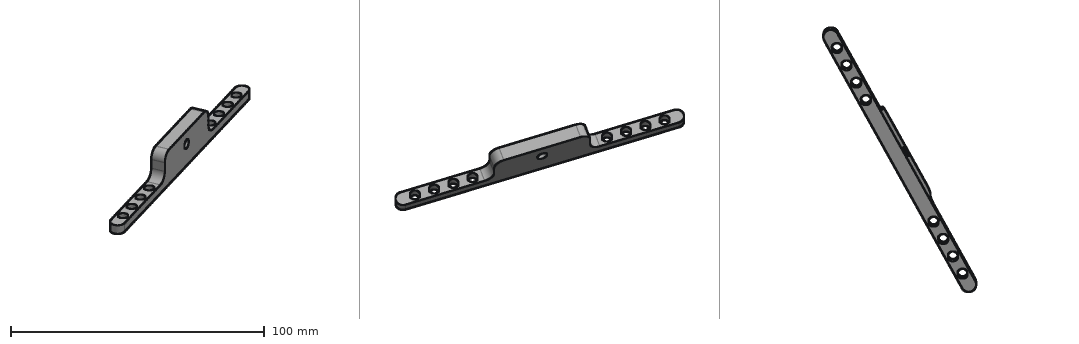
import cadquery as cq

length = 120.0
width = 6.0
bar_height = length / 30
height = 4 * bar_height
tab_length = length / 3
corner_radius = bar_height
hole_diameter = bar_height
hole_pitch = length / 15
holes_per_arm = 4
first_hole_y = 3.5 * hole_pitch
tab_hole_z = 2.5 * bar_height


def make_bar():
    """Flat bar with fully rounded ends, resting on Z = 0."""
    return cq.Workplane("XY").slot2D(length, width, 90).extrude(bar_height)


def make_tab():
    """Upright tab with rounded top corners and concave blends at its foot."""
    half = tab_length / 2
    r = corner_radius
    foot = half + r
    return (
        cq.Workplane("YZ", origin=(-width / 2, 0, 0))
        .moveTo(-foot, 0)
        .lineTo(foot, 0)
        .lineTo(foot, bar_height)
        .radiusArc((half, bar_height + r), r)
        .lineTo(half, height - r)
        .radiusArc((half - r, height), -r)
        .lineTo(-half + r, height)
        .radiusArc((-half, height - r), -r)
        .lineTo(-half, bar_height + r)
        .radiusArc((-foot, bar_height), r)
        .close()
        .extrude(width)
    )


def make_arm_holes():
    """Vertical through holes, evenly spaced along both arms."""
    offsets = [first_hole_y + i * hole_pitch for i in range(holes_per_arm)]
    points = [(0, side * y) for side in (-1, 1) for y in offsets]
    return cq.Workplane("XY").pushPoints(points).circle(hole_diameter / 2).extrude(bar_height)


def make_tab_hole():
    """Cross hole through the tab along X."""
    return (
        cq.Workplane("YZ", origin=(-width / 2, 0, tab_hole_z))
        .circle(hole_diameter / 2)
        .extrude(width)
    )


result = make_bar().union(make_tab()).cut(make_arm_holes()).cut(make_tab_hole())